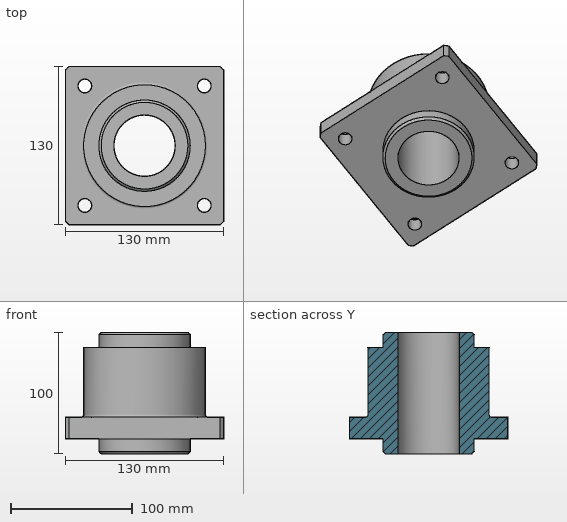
import cadquery as cq

flange_side = 130.0
flange_thickness = 18.0
corner_chamfer = 3.0
bolt_pitch = 98.0
bolt_hole_diameter = 11.0

sleeve_length = 100.0
sleeve_diameter = 75.0
sleeve_projection = 12.5
sleeve_chamfer = 2.0
bore_diameter = 50.0
housing_diameter = 100.0
housing_fillet = 2.0

flange_bottom = sleeve_projection
flange_top = flange_bottom + flange_thickness
housing_top = sleeve_length - sleeve_projection


def cylinder(diameter, bottom, top):
    """Upright cylinder on the part axis."""
    return cq.Workplane("XY").workplane(offset=bottom).circle(diameter / 2).extrude(top - bottom)


def make_flange():
    """Square plate with chamfered vertical corners and four bolt holes."""
    plate = (
        cq.Workplane("XY")
        .workplane(offset=flange_bottom)
        .rect(flange_side, flange_side)
        .extrude(flange_thickness)
        .edges("|Z")
        .chamfer(corner_chamfer)
    )
    return (
        plate.faces(">Z")
        .workplane()
        .rect(bolt_pitch, bolt_pitch, forConstruction=True)
        .vertices()
        .hole(bolt_hole_diameter)
    )


def make_housing():
    """Revolved profile of the housing, with its concave foot fillet on the flange."""
    radius = housing_diameter / 2
    foot_radius = radius + housing_fillet
    return (
        cq.Workplane("XZ")
        .moveTo(0, flange_top)
        .lineTo(foot_radius, flange_top)
        .radiusArc((radius, flange_top + housing_fillet), housing_fillet)
        .lineTo(radius, housing_top)
        .lineTo(0, housing_top)
        .close()
        .revolve(360, (0, 0), (0, 1))
    )


def make_sleeve():
    """Sleeve blank with both outer rims chamfered."""
    return cylinder(sleeve_diameter, 0, sleeve_length).faces("<Z or >Z").edges().chamfer(sleeve_chamfer)


bore = cylinder(bore_diameter, 0, sleeve_length)
result = make_flange().union(make_housing()).union(make_sleeve()).cut(bore)